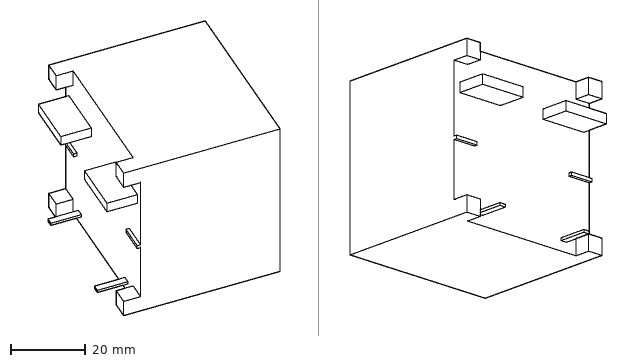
import cadquery as cq

side = 50.0
housing_depth = 41.2

foot_size = 5.0

blade_width = 15.0
blade_thickness = 3.0
blade_length = 9.0
blade_spacing = 30.8
blade_z = 12.7

rib_length = 7.6
rib_thickness = 1.0
rib_height = 1.0
rib_z = -2.3

overall_depth = 50.2
pin_width = 2.0
pin_thickness = 0.8
pin_length = overall_depth - housing_depth
pin_spacing = 31.0
pin_z = -21.6


def make_housing():
    """Block centred on the Y axis, extending in +Y from the mounting face."""
    return cq.Workplane("XY").box(side, housing_depth, side, centered=(True, False, True))


def make_projections(points, width, thickness, length):
    """Rectangular bars standing out in -Y, centred on the given (X, Z) points."""
    return cq.Workplane("XZ").pushPoints(points).rect(width, thickness).extrude(length)


def mirrored_pair(center_distance, z):
    """Two (X, Z) points placed symmetrically about X = 0."""
    return [(-center_distance / 2, z), (center_distance / 2, z)]


foot_spacing = side - foot_size
foot_z = foot_spacing / 2
foot_points = mirrored_pair(foot_spacing, foot_z) + mirrored_pair(foot_spacing, -foot_z)
feet = make_projections(foot_points, foot_size, foot_size, foot_size)

blade_points = mirrored_pair(blade_spacing, blade_z)
blades = make_projections(blade_points, blade_width, blade_thickness, blade_length)

rib_points = mirrored_pair(side - rib_length, rib_z)
ribs = make_projections(rib_points, rib_length, rib_thickness, rib_height)

pin_points = mirrored_pair(pin_spacing, pin_z)
pins = make_projections(pin_points, pin_width, pin_thickness, pin_length)

result = make_housing().union(feet).union(blades).union(ribs).union(pins)